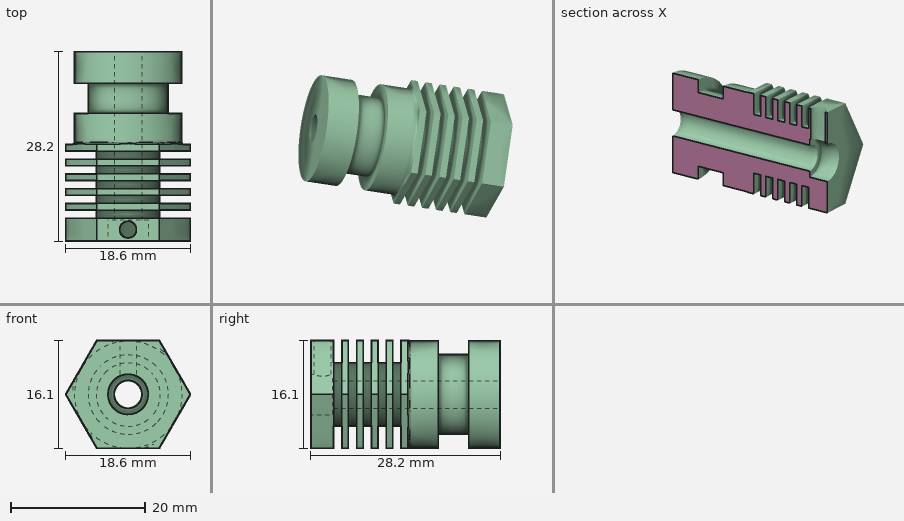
import cadquery as cq
import math


hex_across_flats = 16.1
hex_across_corners = hex_across_flats / math.cos(math.pi / 6)
head_length = 3.4
fin_count = 5
fin_thickness = 1.0
fin_gap = 1.2
fin_pitch = fin_thickness + fin_gap
core_diameter = 9.5

collar_diameter = 16.0
groove_diameter = 11.9
inner_collar_length = 4.6
groove_length = 4.5
outer_collar_length = 4.7
collar_root_radius = 0.3

through_diameter = 4.1
counterbore_diameter = 6.0
counterbore_depth = 3.2
set_screw_diameter = 2.5

fins_end = head_length + fin_count * fin_pitch
inner_collar_end = fins_end + inner_collar_length
groove_end = inner_collar_end + groove_length
total_length = groove_end + outer_collar_length


def section(start):
    """Workplane normal to +Y, centred on the axis at the given station."""
    return cq.Workplane("XZ", origin=(0, start, 0))


def disc(start, length, diameter):
    return section(start).circle(diameter / 2).extrude(-length)


def hex_plate(start, length):
    """Hexagon with two flats facing +Z and -Z."""
    return section(start).polygon(6, hex_across_corners).extrude(-length)


def make_finned_end():
    body = disc(0, fins_end, core_diameter)
    body = body.union(hex_plate(0, head_length))
    for index in range(fin_count):
        fin_start = head_length + fin_gap + index * fin_pitch
        body = body.union(hex_plate(fin_start, fin_thickness))
    return body


def make_mounting_end():
    inner_collar = disc(fins_end, inner_collar_length, collar_diameter)
    groove = disc(inner_collar_end, groove_length, groove_diameter)
    outer_collar = disc(groove_end, outer_collar_length, collar_diameter)
    return inner_collar.union(groove).union(outer_collar)


def make_collar_root():
    """Concave fillet from the inner collar to the last fin, trimmed by the fin's flats."""
    collar_radius = collar_diameter / 2
    root_outer = collar_radius + collar_root_radius
    root_end = fins_end + collar_root_radius
    arc_reach = collar_root_radius * math.cos(math.pi / 4)
    arc_middle = (root_outer - arc_reach, root_end - arc_reach)
    flare = (
        cq.Workplane("XY")
        .moveTo(0, fins_end)
        .lineTo(root_outer, fins_end)
        .threePointArc(arc_middle, (collar_radius, root_end))
        .lineTo(0, root_end)
        .close()
        .revolve(360, (0, 0, 0), (0, 1, 0))
    )
    return flare.intersect(hex_plate(fins_end, collar_root_radius))


def make_bores():
    through = disc(0, total_length, through_diameter)
    counterbore = disc(0, counterbore_depth, counterbore_diameter)
    set_screw_hole = (
        cq.Workplane("XY", origin=(0, head_length / 2, 0))
        .circle(set_screw_diameter / 2)
        .extrude(hex_across_flats / 2)
    )
    return through.union(counterbore).union(set_screw_hole)


body = make_finned_end().union(make_mounting_end()).union(make_collar_root())
result = body.cut(make_bores())